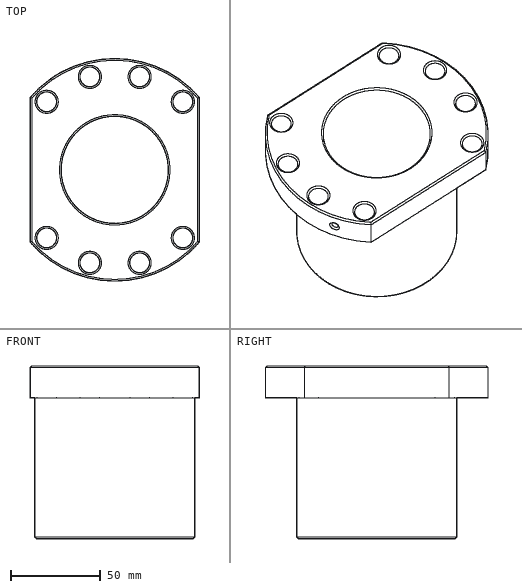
import cadquery as cq

flange_diameter = 125
flange_width = 95
flange_thickness = 18.0

total_height = 97.0
body_diameter = 90
bore_diameter = 60

bolt_hole_diameter = 11.0
bolt_circle_diameter = 108.0
holes_per_group = 4
first_bolt_angles = [45, 225]
bolt_angle_step = 30

port_angle = 120
port_diameter = 4.0
port_depth = 10

chamfer = 1.0

flange_bottom = total_height - flange_thickness
flange_middle = total_height - flange_thickness / 2


def make_flange():
    """Disc trimmed to two flat sides, with its top outer edges chamfered."""
    base = cq.Workplane("XY", origin=(0, 0, flange_bottom))
    disc = base.circle(flange_diameter / 2).extrude(flange_thickness)
    sides = base.rect(flange_width, flange_diameter).extrude(flange_thickness)
    return disc.intersect(sides).faces(">Z").edges().chamfer(chamfer)


def make_body():
    """Plain cylinder with its lower outer edge chamfered."""
    cylinder = cq.Workplane("XY").circle(body_diameter / 2).extrude(flange_bottom)
    return cylinder.faces("<Z").edges().chamfer(chamfer)


def cut_bore(part):
    """Cut the central bore through the part and chamfer its upper rim."""
    top = part.copyWorkplane(cq.Workplane("XY", origin=(0, 0, total_height)))
    return top.cskHole(bore_diameter, bore_diameter + 2 * chamfer, 90)


def cut_bolt_holes(part):
    """Drill both groups of bolt holes and chamfer their upper rims."""
    for first_angle in first_bolt_angles:
        top = part.copyWorkplane(cq.Workplane("XY", origin=(0, 0, total_height)))
        part = top.polarArray(
            bolt_circle_diameter / 2,
            first_angle,
            bolt_angle_step * (holes_per_group - 1),
            holes_per_group,
        ).cskHole(bolt_hole_diameter, bolt_hole_diameter + 2 * chamfer, 90)
    return part


def cut_oil_port(part):
    """Drill the blind oil port into the flange rim and chamfer its mouth."""
    rim_radius = flange_diameter / 2
    rim_plane = cq.Workplane("YZ", origin=(rim_radius, 0, flange_middle))
    port = rim_plane.circle(port_diameter / 2).extrude(-port_depth)
    mouth = (
        rim_plane.circle(port_diameter / 2 + chamfer)
        .workplane(offset=-chamfer)
        .circle(port_diameter / 2)
        .loft()
    )
    return part.cut(port.union(mouth).rotate((0, 0, 0), (0, 0, 1), port_angle))


result = make_flange().union(make_body())
result = cut_bore(result)
result = cut_bolt_holes(result)
result = cut_oil_port(result)